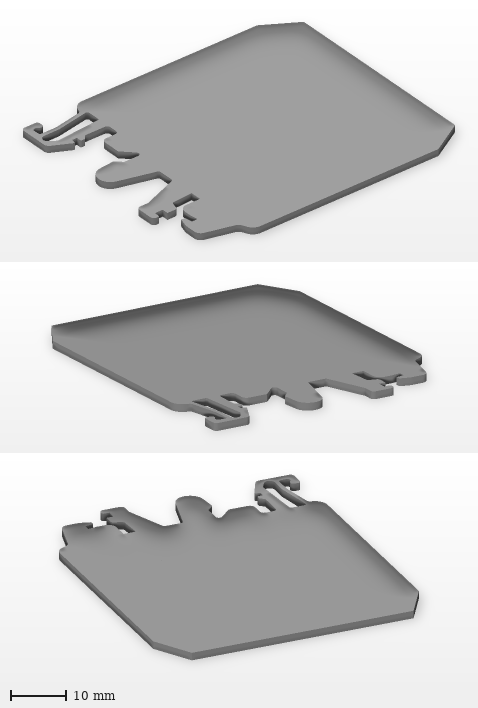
import cadquery as cq
import math


WIDTH = 52.8
HEIGHT = 62.4
THICKNESS = 1.5

SHARP = 0.0
BREAK_RADIUS = 0.3
FOOT_RADIUS = 0.75
GAP_RADIUS = 0.75

LEFT_ROOT_Y = 13.05
RIGHT_ROOT_Y = 10.85
STEP_Y = 9.1

CHAMFER_X = 4.35
CHAMFER_Y = 7.35

SHOULDER_Y = 12.6
SHOULDER_RADIUS = 2.5
STRIP_ROOT_X = 2.7
STRIP_ROOT_Y = 11.85
STRIP_X = 3.9
STRIP_BEND_Y = 5.3
STRIP_WIDTH = 0.9
HOOK_LEFT_X = 0.45
HOOK_TOP_Y = 3.85
HOOK_TIP_X = 2.3
HOOK_TIP_Y = 3.0
HOOK_THROAT_X = 1.9
HOOK_THROAT_Y = 2.3
HOOK_FLOOR_Y = 1.5
HOOK_RADIUS = 0.6
HOOK_INNER_RADIUS = 0.45
HEEL_X = 7.8
HEEL_RADIUS = 1.1
POST_X = 9.3

LOWER_LIP_X = 10.05
LOWER_LIP_Y = 4.5
LOWER_LIP_RISE = 0.3
LEFT_NOTCH_X = 9.05
LEFT_NOTCH_Y = 5.0
LEFT_NOTCH_HEIGHT = 1.05
LEFT_NOSE_X = 10.2
LEFT_NOSE_HEIGHT = 0.95
LEFT_NOSE_RAMP = 0.8

WINDOW_TOP_X = 3.35
WINDOW_TOP_WIDTH = 3.35
WINDOW_TOP_RADIUS = 0.45
WINDOW_RIGHT_X = 7.6
WINDOW_RIGHT_Y = 2.8
WINDOW_BOTTOM_X = 6.35
WINDOW_BOTTOM_Y = 0.9
WINDOW_BOTTOM_RADIUS = 1.0

STEP_LEFT_X = 12.4
STEP_RIGHT_X = 17.2
STEP_RADIUS = 1.05
RELIEF_RADIUS = 0.6

STUD_LEFT_X = 20.65
STUD_WAIST_Y = 7.8
STUD_BULGE = 1.4
STUD_TIP_Y = 0.6
STUD_TIP_LEFT_X = 19.85
STUD_TIP_RIGHT_X = 24.3
STUD_ROUND_SHARE = 0.99
STUD_ROOT_RIGHT_X = 27.0
STUD_ROOT_RADIUS = 0.55

LEG_ROOT_LEFT_X = 30.9
LEG_LEFT_X = 34.05
LEG_BEND_Y = 2.6
LEG_RIGHT_X = 38.85
LEG_NOTCH_DEPTH = 1.4
LEG_NOTCH_Y = 1.5
LEG_NOTCH_HEIGHT = 1.8
LEG_NOSE_TOP_Y = 5.55
LEG_RAMP_TOP_Y = 6.1
LEG_RAMP_RADIUS = 0.6
LEG_ROOT_RIGHT_X = 36.4
LEG_WAIST_X = 36.75

CLAW_BOTTOM_Y = 3.25
CLAW_ROOT_RADIUS = 1.6
CLAW_ROOF_Y = 6.05
CLAW_ROOF_BEND_X = 42.05
CLAW_THROAT_X = 43.85
CLAW_THROAT_TOP_Y = 6.3
CLAW_THROAT_BOTTOM_Y = 5.0
CLAW_TIP_X = 42.2
CLAW_TIP_TOP_Y = 4.75
CLAW_TIP_BOTTOM_Y = 3.85
CLAW_BELLY_X = 44.3
CLAW_BELLY_RADIUS = 3.75
CLAW_HEEL_X = 47.9
CLAW_HEEL_RADIUS = 1.5
CLAW_NECK_X = 49.9
CLAW_NECK_Y = 11.05
CLAW_NECK_RADIUS = 1.6
RIGHT_SHOULDER_Y = 12.35
RIGHT_SHOULDER_RADIUS = 2.2


def toward(start, target, distance):
    """Point a given distance from start on the way to target."""
    length = math.dist(start, target)
    ratio = distance / length
    return (
        start[0] + (target[0] - start[0]) * ratio,
        start[1] + (target[1] - start[1]) * ratio,
    )


def corner_arc(before, corner, after, radius):
    """Start, middle and end of the arc that is tangent to both sides of a corner."""
    to_before = math.atan2(before[1] - corner[1], before[0] - corner[0])
    to_after = math.atan2(after[1] - corner[1], after[0] - corner[0])
    half_angle = ((to_after - to_before) % (2 * math.pi)) / 2
    half_angle = min(half_angle, math.pi - half_angle)
    tangent_length = radius / math.tan(half_angle)
    center_distance = radius / math.sin(half_angle)
    start = toward(corner, before, tangent_length)
    end = toward(corner, after, tangent_length)
    chord_middle = ((start[0] + end[0]) / 2, (start[1] + end[1]) / 2)
    middle = toward(corner, chord_middle, center_distance - radius)
    return start, middle, end


def rounded_prism(corners):
    """Extrude a closed outline, rounding each corner but the first by its own radius."""
    points = [(x, y) for x, y, _ in corners]
    sketch = cq.Workplane("XY").moveTo(*points[0])
    for index in range(1, len(corners)):
        radius = corners[index][2]
        if radius == SHARP:
            sketch = sketch.lineTo(*points[index])
            continue
        after = points[(index + 1) % len(points)]
        start, middle, end = corner_arc(points[index - 1], points[index], after, radius)
        sketch = sketch.lineTo(*start).threePointArc(middle, end)
    return sketch.close().extrude(THICKNESS)


def top_edge():
    """Chamfered top of the plate, right to left."""
    return [
        (WIDTH, HEIGHT - CHAMFER_Y, SHARP),
        (WIDTH - CHAMFER_X, HEIGHT, SHARP),
        (CHAMFER_X, HEIGHT, SHARP),
        (0, HEIGHT - CHAMFER_Y, SHARP),
    ]


def spring_foot():
    """Left shoulder, spring strip, hook, heel and the catch on the post."""
    notch_top_y = LEFT_NOTCH_Y + LEFT_NOTCH_HEIGHT
    nose_top_y = notch_top_y + LEFT_NOSE_HEIGHT
    return [
        (0, SHOULDER_Y, SHOULDER_RADIUS),
        (STRIP_ROOT_X, STRIP_ROOT_Y, GAP_RADIUS),
        (STRIP_X, STRIP_BEND_Y, SHARP),
        (STRIP_X, HOOK_FLOOR_Y, HOOK_INNER_RADIUS),
        (HOOK_THROAT_X, HOOK_FLOOR_Y, HOOK_INNER_RADIUS),
        (HOOK_THROAT_X, HOOK_THROAT_Y, SHARP),
        (HOOK_TIP_X, HOOK_TIP_Y, SHARP),
        (HOOK_TIP_X, HOOK_TOP_Y, HOOK_RADIUS),
        (HOOK_LEFT_X, HOOK_TOP_Y, HOOK_RADIUS),
        (HOOK_LEFT_X, 0, FOOT_RADIUS),
        (HEEL_X, 0, HEEL_RADIUS),
        (LOWER_LIP_X, LOWER_LIP_Y, BREAK_RADIUS),
        (LOWER_LIP_X, LOWER_LIP_Y + LOWER_LIP_RISE, SHARP),
        (LEFT_NOTCH_X, LEFT_NOTCH_Y, SHARP),
        (LEFT_NOTCH_X, notch_top_y, SHARP),
        (LEFT_NOSE_X, notch_top_y, BREAK_RADIUS),
        (LEFT_NOSE_X, nose_top_y, BREAK_RADIUS),
        (POST_X, nose_top_y + LEFT_NOSE_RAMP, SHARP),
        (POST_X, LEFT_ROOT_Y, GAP_RADIUS),
    ]


def step():
    """Lower step of the plate body, ending in a 45 degree relief at the stud."""
    relief_y = STEP_Y + STUD_LEFT_X - STEP_RIGHT_X
    return [
        (STEP_LEFT_X, LEFT_ROOT_Y, GAP_RADIUS),
        (STEP_LEFT_X, STEP_Y, STEP_RADIUS),
        (STEP_RIGHT_X, STEP_Y, SHARP),
        (STUD_LEFT_X, relief_y, RELIEF_RADIUS),
    ]


def stud():
    """Tapered stud whose tip is one round between its two flanks."""
    bulge_x = STUD_LEFT_X - STUD_BULGE
    bulge_y = STUD_WAIST_Y - STUD_BULGE
    left_flank = math.atan2(bulge_y - STUD_TIP_Y, bulge_x - STUD_TIP_LEFT_X)
    right_flank = math.atan2(RIGHT_ROOT_Y - STUD_TIP_Y, STUD_ROOT_RIGHT_X - STUD_TIP_RIGHT_X)
    tip_width = STUD_TIP_RIGHT_X - STUD_TIP_LEFT_X
    full_round = tip_width / (1 / math.tan(left_flank / 2) + math.tan(right_flank / 2))
    tip_radius = STUD_ROUND_SHARE * full_round
    return [
        (STUD_LEFT_X, STUD_WAIST_Y, SHARP),
        (bulge_x, bulge_y, BREAK_RADIUS),
        (STUD_TIP_LEFT_X, STUD_TIP_Y, tip_radius),
        (STUD_TIP_RIGHT_X, STUD_TIP_Y, tip_radius),
        (STUD_ROOT_RIGHT_X, RIGHT_ROOT_Y, STUD_ROOT_RADIUS),
    ]


def tapered_leg():
    """Leg that narrows downward, with a notch and a nose on its right face."""
    notch_x = LEG_RIGHT_X - LEG_NOTCH_DEPTH
    notch_top_y = LEG_NOTCH_Y + LEG_NOTCH_HEIGHT
    return [
        (LEG_ROOT_LEFT_X, RIGHT_ROOT_Y, BREAK_RADIUS),
        (LEG_LEFT_X, LEG_BEND_Y, SHARP),
        (LEG_LEFT_X, 0, FOOT_RADIUS),
        (LEG_RIGHT_X, 0, FOOT_RADIUS),
        (LEG_RIGHT_X, LEG_NOTCH_Y, BREAK_RADIUS),
        (notch_x, LEG_NOTCH_Y, SHARP),
        (notch_x, notch_top_y, SHARP),
        (LEG_RIGHT_X, notch_top_y, SHARP),
        (LEG_RIGHT_X, LEG_NOSE_TOP_Y, LEG_RAMP_RADIUS),
        (LEG_WAIST_X, LEG_RAMP_TOP_Y, LEG_RAMP_RADIUS),
        (LEG_ROOT_RIGHT_X, RIGHT_ROOT_Y, SHARP),
    ]


def claw():
    """Right-hand claw that faces the leg, and the right shoulder of the plate."""
    return [
        (LEG_RIGHT_X, RIGHT_ROOT_Y, SHARP),
        (LEG_RIGHT_X, CLAW_ROOF_Y, CLAW_ROOT_RADIUS),
        (CLAW_ROOF_BEND_X, CLAW_ROOF_Y, SHARP),
        (CLAW_THROAT_X, CLAW_THROAT_TOP_Y, SHARP),
        (CLAW_THROAT_X, CLAW_THROAT_BOTTOM_Y, SHARP),
        (CLAW_TIP_X, CLAW_TIP_TOP_Y, SHARP),
        (CLAW_TIP_X, CLAW_TIP_BOTTOM_Y, SHARP),
        (CLAW_BELLY_X, CLAW_BOTTOM_Y, CLAW_BELLY_RADIUS),
        (CLAW_HEEL_X, CLAW_BOTTOM_Y, CLAW_HEEL_RADIUS),
        (CLAW_NECK_X, CLAW_NECK_Y, CLAW_NECK_RADIUS),
        (WIDTH, RIGHT_SHOULDER_Y, RIGHT_SHOULDER_RADIUS),
    ]


def window():
    """Opening that separates the spring strip from the post."""
    left_x = STRIP_X + STRIP_WIDTH
    return [
        (left_x, STRIP_BEND_Y, SHARP),
        (left_x, WINDOW_BOTTOM_Y, WINDOW_BOTTOM_RADIUS),
        (WINDOW_BOTTOM_X, WINDOW_BOTTOM_Y, WINDOW_BOTTOM_RADIUS),
        (WINDOW_RIGHT_X, WINDOW_RIGHT_Y, SHARP),
        (WINDOW_TOP_X + WINDOW_TOP_WIDTH, LEFT_ROOT_Y, BREAK_RADIUS),
        (WINDOW_TOP_X, LEFT_ROOT_Y, WINDOW_TOP_RADIUS),
    ]


plate = rounded_prism(top_edge() + spring_foot() + step() + stud() + tapered_leg() + claw())
result = plate.cut(rounded_prism(window()))